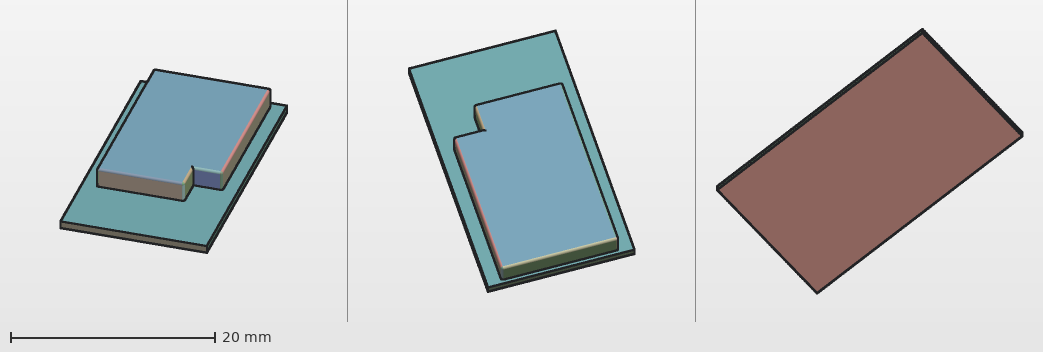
import cadquery as cq

board_width = 15.0
board_length = 26.5
board_thickness = 0.8

cover_width = 12.0
cover_length = 19.0
cover_height = 2.01
back_margin = 0.42
notch_size = 3.0
edge_radius = 0.25

cover_right = cover_width / 2
cover_left = -cover_right
cover_back = board_length / 2 - back_margin
cover_front = cover_back - cover_length
notch_x = cover_right - notch_size
notch_y = cover_front + notch_size


def make_board():
    return cq.Workplane("XY").box(
        board_width, board_length, board_thickness, centered=(True, True, False)
    )


def make_cover():
    """Block with a square notch at its front right corner and rounded edges."""
    outline = [
        (cover_left, cover_back),
        (cover_right, cover_back),
        (cover_right, notch_y),
        (notch_x, notch_y),
        (notch_x, cover_front),
        (cover_left, cover_front),
    ]
    block = (
        cq.Workplane("XY")
        .workplane(offset=board_thickness)
        .polyline(outline)
        .close()
        .extrude(cover_height)
    )
    inner_corner = cq.selectors.BoxSelector(
        (notch_x - edge_radius, notch_y - edge_radius, board_thickness),
        (notch_x + edge_radius, notch_y + edge_radius, board_thickness + cover_height),
    )
    outer_corners = cq.selectors.StringSyntaxSelector("|Z") - inner_corner
    return block.edges(outer_corners).fillet(edge_radius).faces(">Z").edges().fillet(edge_radius)


result = make_board().union(make_cover())